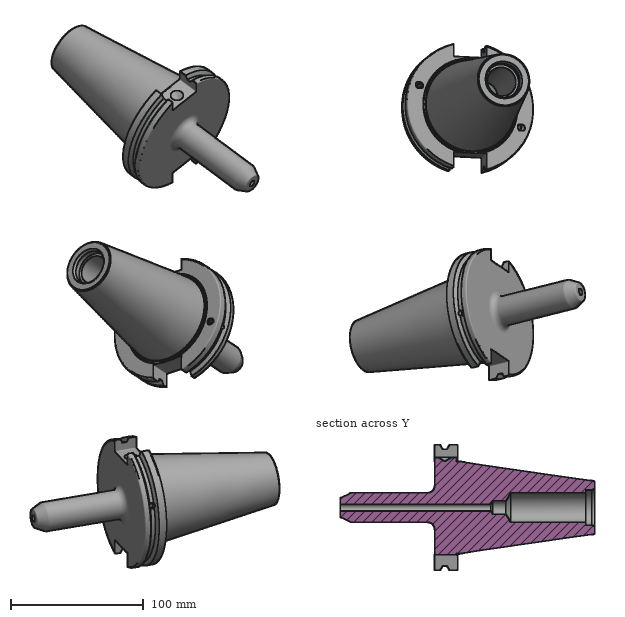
import cadquery as cq
import math

gauge_x = 102.1
flange_front_x = 103.0
flange_rear_x = 120.7
tip_x = 191.6

gauge_diameter = 70.0
taper_rate = 7 / 24
small_end_chamfer = 0.8
neck_diameter = 69.2

relief_mouth_diameter = 73.4
relief_floor_diameter = 71.8
relief_depth = 1.0

flange_diameter = 98.1
flange_edge_radius = 1.0
groove_centre_x = 112.9
groove_mouth_width = 6.9
groove_diameter = 91.5
groove_side_angle = 30.0

shank_diameter = 22.5
shank_root_radius = 5.0
nose_start_x = 183.5
tip_diameter = 14.5
nose_start_radius = 2.3
tip_radius = 1.1

mouth_diameter = 26.2
mouth_chamfer_width = 1.1
mouth_chamfer_depth = 2.3
mouth_depth = 6.7
bore_diameter = 22.0
bore_depth = 63.2
pilot_diameter = 10.0
pilot_depth = 76.6
coolant_diameter = 5.0
drill_point_angle = 118.0

keyway_width = 25.7
keyway_rim_chamfer = 0.2
upper_floor_z = 37.7
lower_floor_z = -35.6
keyway_corner_radius = 0.5
dimple_diameter = 9.5
dimple_point_angle = 118.0

port_angle = 20.0
port_radius = 42.2
port_tilt = 30.0
port_mouth_diameter = 5.0
port_mouth_depth = 2.9
port_diameter = 4.2
port_depth = 8.5

groove_hole_diameter = 4.2
groove_hole_end_radius = 41.4


def revolve_about_x(profile):
    return profile.close().revolve(360, (0, 0, 0), (1, 0, 0))


def cone_height(large_diameter, small_diameter, included_angle):
    return (large_diameter - small_diameter) / 2 / math.tan(math.radians(included_angle / 2))


def turned_body():
    small_radius = (gauge_diameter - taper_rate * gauge_x) / 2
    chamfered_radius = small_radius - small_end_chamfer
    taper_start_radius = small_radius + taper_rate / 2 * small_end_chamfer
    flange_radius = flange_diameter / 2
    groove_radius = groove_diameter / 2
    mouth_half = groove_mouth_width / 2
    floor_half = mouth_half - (flange_radius - groove_radius) * math.tan(math.radians(groove_side_angle))
    shank_radius = shank_diameter / 2
    arc_centre_x = flange_rear_x + shank_root_radius
    arc_centre_r = shank_radius + shank_root_radius
    arc_mid_offset = shank_root_radius * math.sqrt(0.5)

    profile = (
        cq.Workplane("XY")
        .moveTo(0, 0)
        .lineTo(0, chamfered_radius)
        .lineTo(small_end_chamfer, taper_start_radius)
        .lineTo(gauge_x, gauge_diameter / 2)
        .lineTo(gauge_x, neck_diameter / 2)
        .lineTo(flange_front_x + relief_depth, neck_diameter / 2)
        .lineTo(flange_front_x + relief_depth, relief_floor_diameter / 2)
        .lineTo(flange_front_x, relief_mouth_diameter / 2)
        .lineTo(flange_front_x, flange_radius - flange_edge_radius)
        .radiusArc((flange_front_x + flange_edge_radius, flange_radius), flange_edge_radius)
        .lineTo(groove_centre_x - mouth_half, flange_radius)
        .lineTo(groove_centre_x - floor_half, groove_radius)
        .lineTo(groove_centre_x + floor_half, groove_radius)
        .lineTo(groove_centre_x + mouth_half, flange_radius)
        .lineTo(flange_rear_x - flange_edge_radius, flange_radius)
        .radiusArc((flange_rear_x, flange_radius - flange_edge_radius), flange_edge_radius)
        .lineTo(flange_rear_x, arc_centre_r)
        .threePointArc(
            (arc_centre_x - arc_mid_offset, arc_centre_r - arc_mid_offset),
            (arc_centre_x, shank_radius),
        )
        .lineTo(nose_start_x, shank_radius)
        .lineTo(tip_x, tip_diameter / 2)
        .lineTo(tip_x, 0)
    )
    body = revolve_about_x(profile)
    body = body.edges(cq.NearestToPointSelector((nose_start_x, 0, 0))).fillet(nose_start_radius)
    body = body.faces(">X").edges().fillet(tip_radius)
    return body


def axial_bore():
    mouth_radius = mouth_diameter / 2
    bore_radius = bore_diameter / 2
    pilot_radius = pilot_diameter / 2
    coolant_radius = coolant_diameter / 2
    bore_point = cone_height(bore_diameter, pilot_diameter, drill_point_angle)
    pilot_point = cone_height(pilot_diameter, coolant_diameter, drill_point_angle)

    profile = (
        cq.Workplane("XY")
        .moveTo(0, 0)
        .lineTo(0, mouth_radius + mouth_chamfer_width)
        .lineTo(mouth_chamfer_depth, mouth_radius)
        .lineTo(mouth_depth, mouth_radius)
        .lineTo(mouth_depth, bore_radius)
        .lineTo(bore_depth, bore_radius)
        .lineTo(bore_depth + bore_point, pilot_radius)
        .lineTo(pilot_depth, pilot_radius)
        .lineTo(pilot_depth + pilot_point, coolant_radius)
        .lineTo(tip_x, coolant_radius)
        .lineTo(tip_x, 0)
    )
    return revolve_about_x(profile)


def keyway(floor_z):
    """Slot along X, open away from the axis, with rounded floor corners and flared rim edges."""
    half_width = keyway_width / 2
    rim_radius = flange_diameter / 2
    side = math.copysign(1, floor_z)
    flare_start_z = side * (math.sqrt(rim_radius**2 - half_width**2) - keyway_rim_chamfer)
    top_z = side * rim_radius
    top_half_width = half_width + abs(top_z - flare_start_z)
    slot = (
        cq.Workplane("YZ", origin=(flange_front_x, 0, 0))
        .moveTo(-half_width, floor_z)
        .lineTo(half_width, floor_z)
        .lineTo(half_width, flare_start_z)
        .lineTo(top_half_width, top_z)
        .lineTo(-top_half_width, top_z)
        .lineTo(-half_width, flare_start_z)
        .close()
        .extrude(flange_rear_x - flange_front_x)
    )
    floor_face = "<Z" if side > 0 else ">Z"
    return slot.faces(floor_face).edges("|X").fillet(keyway_corner_radius)


def keyway_dimple():
    depth = cone_height(dimple_diameter, 0, dimple_point_angle)
    cone = cq.Solid.makeCone(
        dimple_diameter / 2, 0, depth, cq.Vector(groove_centre_x, 0, upper_floor_z), cq.Vector(0, 0, -1)
    )
    return cq.Workplane(cone)


def coolant_port():
    """Stepped blind hole that leans inward from the flange face, placed toward +Y."""
    tilt = math.radians(port_tilt)
    direction = cq.Vector(math.cos(tilt), -math.sin(tilt), 0)
    entry = cq.Vector(flange_front_x, port_radius, 0)
    start = entry - direction * port_mouth_diameter
    mouth = cq.Solid.makeCylinder(
        port_mouth_diameter / 2, port_mouth_diameter + port_mouth_depth, start, direction
    )
    passage = cq.Solid.makeCylinder(port_diameter / 2, port_depth, entry, direction)
    return cq.Workplane(mouth).union(cq.Workplane(passage))


def groove_hole():
    """Drill-pointed radial hole in the floor of the gripper groove, placed toward +Y."""
    hole = cq.Solid.makeCylinder(
        groove_hole_diameter / 2,
        flange_diameter / 2 - groove_hole_end_radius,
        cq.Vector(groove_centre_x, groove_hole_end_radius, 0),
        cq.Vector(0, 1, 0),
    )
    point = cq.Solid.makeCone(
        groove_hole_diameter / 2,
        0,
        cone_height(groove_hole_diameter, 0, drill_point_angle),
        cq.Vector(groove_centre_x, groove_hole_end_radius, 0),
        cq.Vector(0, -1, 0),
    )
    return cq.Workplane(hole).union(cq.Workplane(point))


result = turned_body().cut(axial_bore())
for floor_z in (upper_floor_z, lower_floor_z):
    result = result.cut(keyway(floor_z))
result = result.cut(keyway_dimple())
port_and_hole = coolant_port().union(groove_hole())
for turn in (0, 180):
    result = result.cut(port_and_hole.rotate((0, 0, 0), (1, 0, 0), port_angle + turn))